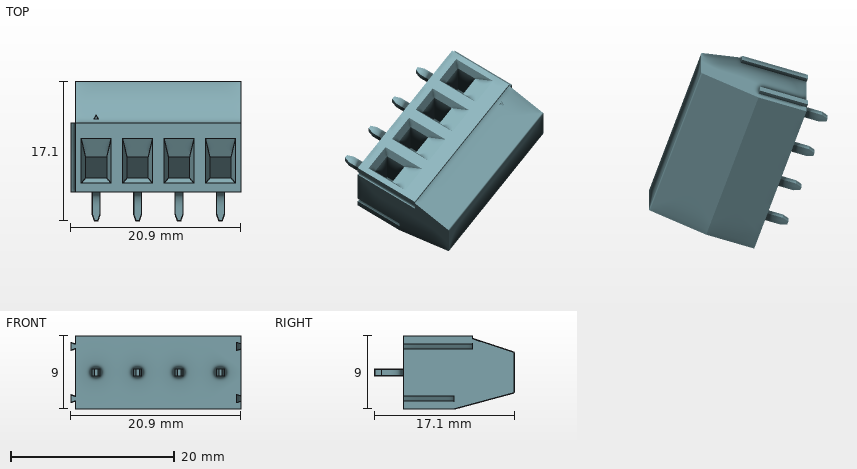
import cadquery as cq

pole_count = 4
pitch = 5.08
body_width = 20.34
last_pole_inset = pitch / 2
body_depth = 13.6
body_height = 9.0
top_z = body_height / 2
bottom_z = -top_z
left_x = -body_width / 2
right_x = body_width / 2

top_flat_depth = 8.5
bottom_flat_depth = 6.2
step_height = 0.32
back_top_z = 2.5
back_bottom_z = -2.5
back_edge_radius = 0.2

dovetail_reach = 0.55
dovetail_tip_height = 1.0
dovetail_root_height = 0.6
dovetail_offset_z = 3.2

entry_width = 3.66
entry_front_y = 1.12
entry_back_y = 6.58
shaft_width = 2.6
shaft_front_y = 1.72
shaft_back_y = 4.32
funnel_depth = 0.9
shaft_depth = 5.0

pin_width = 1.0
pin_thickness = 0.84
pin_length = 3.5
pin_taper_length = 0.8
pin_tip_width = 0.42

mark_width = 0.53
mark_height = 0.47
mark_front_y = 8.98
mark_depth = 0.1

first_pole_x = right_x - last_pole_inset - (pole_count - 1) * pitch
pole_positions = [first_pole_x + i * pitch for i in range(pole_count)]


def make_housing():
    """Side profile swept along X, with the two back edges rounded."""
    profile = [
        (0, bottom_z),
        (bottom_flat_depth, bottom_z),
        (body_depth, back_bottom_z),
        (body_depth, back_top_z),
        (top_flat_depth, top_z - step_height),
        (top_flat_depth, top_z),
        (0, top_z),
    ]
    housing = cq.Workplane("YZ", origin=(left_x, 0, 0)).polyline(profile).close().extrude(body_width)
    return housing.faces(">Y").edges("|X").fillet(back_edge_radius)


def make_dovetail(root_x, center_z, length):
    """Dovetail bar along Y that widens from root_x towards -X."""
    half_root = dovetail_root_height / 2
    half_tip = dovetail_tip_height / 2
    tip_x = root_x - dovetail_reach
    outline = [
        (root_x, center_z - half_root),
        (root_x, center_z + half_root),
        (tip_x, center_z + half_tip),
        (tip_x, center_z - half_tip),
    ]
    return cq.Workplane("XZ").polyline(outline).close().extrude(-length)


def make_wire_entry(x):
    """Funnel and shaft that are cut from the top face."""
    funnel_floor_z = top_z - funnel_depth
    entry_length = entry_back_y - entry_front_y
    shaft_length = shaft_back_y - shaft_front_y
    entry_center_y = (entry_front_y + entry_back_y) / 2
    shaft_center_y = (shaft_front_y + shaft_back_y) / 2
    funnel = (
        cq.Workplane("XY", origin=(x, entry_center_y, top_z))
        .rect(entry_width, entry_length)
        .workplane(offset=-funnel_depth)
        .center(0, shaft_center_y - entry_center_y)
        .rect(shaft_width, shaft_length)
        .loft(ruled=True)
    )
    shaft = (
        cq.Workplane("XY", origin=(x, shaft_center_y, funnel_floor_z))
        .rect(shaft_width, shaft_length)
        .extrude(-shaft_depth)
    )
    return funnel.union(shaft)


def make_pin(x):
    """Flat pin out of the front face, narrowing to its tip."""
    half_width = pin_width / 2
    half_tip = pin_tip_width / 2
    taper_start_y = pin_taper_length - pin_length
    outline = [
        (x - half_width, 0),
        (x - half_width, taper_start_y),
        (x - half_tip, -pin_length),
        (x + half_tip, -pin_length),
        (x + half_width, taper_start_y),
        (x + half_width, 0),
    ]
    return cq.Workplane("XY").polyline(outline).close().extrude(pin_thickness / 2, both=True)


def make_mark(x, housing):
    """Triangle pointing to the back, engraved to an even depth below the sloped top face."""
    outline = [
        (x - mark_width / 2, mark_front_y),
        (x + mark_width / 2, mark_front_y),
        (x, mark_front_y + mark_height),
    ]
    prism = cq.Workplane("XY").polyline(outline).close().extrude(top_z)
    return prism.cut(housing.translate((0, 0, -mark_depth)))


housing = make_housing()
result = housing.cut(make_mark(pole_positions[0], housing))

dovetail_rows = [
    (dovetail_offset_z, top_flat_depth),
    (-dovetail_offset_z, bottom_flat_depth),
]
for center_z, length in dovetail_rows:
    result = result.union(make_dovetail(left_x, center_z, length))
    result = result.cut(make_dovetail(right_x, center_z, length))

for pole_x in pole_positions:
    result = result.cut(make_wire_entry(pole_x))
    result = result.union(make_pin(pole_x))